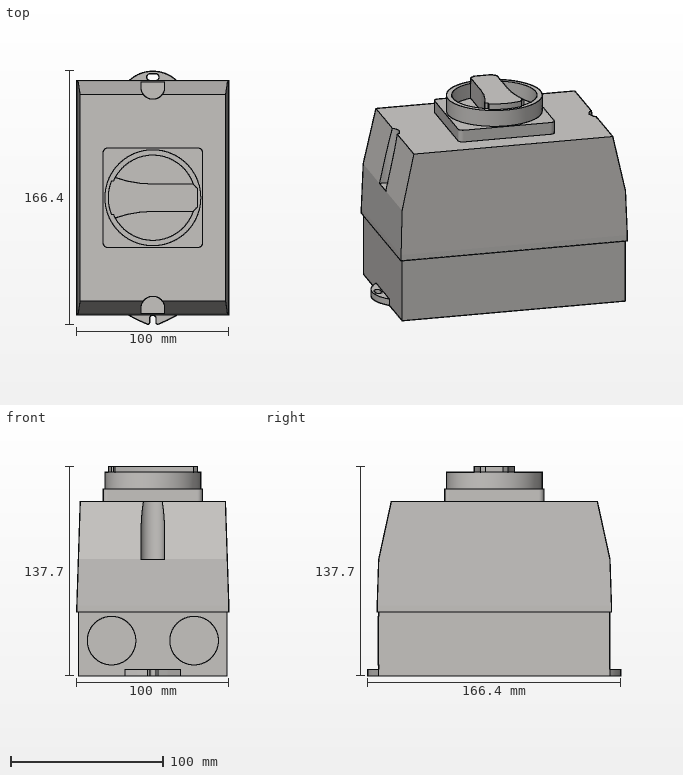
import cadquery as cq
import math

base_x = 97.7
base_y = 151.9
base_top = 42.1
knockout_diameter = 32.0
knockout_height = 0.3
knockout_offset = 27.1
knockout_z = 23.3

lug_tip_y = 83.2
lug_thickness = 4.5
closed_lug_half_width = 16.6
lug_hole_y = 79.2
lug_hole_length = 8.0
lug_hole_width = 4.3
open_lug_half_width = 18.3
lug_shoulder_x = 9.8
lug_shoulder_y = 80.4
lug_tip_half_width = 3.5
lug_slot_width = 4.0
lug_slot_end_y = 77.2
slot_mouth_radius = 1.3

cover_x = 100.0
cover_y = 154.0
rim_top = 46.0
bend_z = 76.7
bend_y = 152.0
cover_top = 114.8
cover_top_x = 95.5
cover_top_y = 135.5
groove_radius = 7.8
groove_y = 72.5

plate_side = 65.4
plate_corner_radius = 3.2
plate_top = 123.0

ring_diameter = 63.0
ring_bore = 56.0
ring_top = 134.0
knob_floor = 123.6
grip_top = 137.7
grip_half_width = 9.0
grip_flare_x = 24.8
grip_flare_half_width = 13.3
grip_end_radius = 29.3
grip_nose_x = 29.5
grip_tail_half_width = 11.1
grip_nose_half_width = 5.8


def closed_lug():
    """Round lug at the +Y end with an oblong hole."""
    wall_y = base_y / 2
    chord_rise = lug_tip_y - wall_y
    outline_radius = (closed_lug_half_width**2 + chord_rise**2) / (2 * chord_rise)
    disc = (
        cq.Workplane("XY")
        .center(0, lug_tip_y - outline_radius)
        .circle(outline_radius)
        .extrude(lug_thickness)
    )
    hole = (
        cq.Workplane("XY")
        .center(0, lug_hole_y)
        .slot2D(lug_hole_length, lug_hole_width)
        .extrude(lug_thickness)
    )
    beyond_wall = (
        cq.Workplane("XY")
        .center(0, wall_y + chord_rise / 2)
        .rect(2 * closed_lug_half_width, chord_rise)
        .extrude(lug_thickness)
    )
    return disc.intersect(beyond_wall).cut(hole)


def open_lug():
    """Tapered lug at the -Y end with a round-bottomed slot open to the outside."""
    right_half = [
        (open_lug_half_width, -base_y / 2),
        (lug_shoulder_x, -lug_shoulder_y),
        (lug_tip_half_width, -lug_tip_y),
    ]
    left_half = [(-x, y) for x, y in reversed(right_half)]
    plate = cq.Workplane("XY").polyline(right_half + left_half).close().extrude(lug_thickness)
    slot_length = 2 * (lug_tip_y - lug_slot_end_y)
    slot = (
        cq.Workplane("XY")
        .center(0, -lug_tip_y)
        .slot2D(slot_length, lug_slot_width, 90)
        .extrude(lug_thickness)
    )
    mouth_limit_x = (lug_slot_width / 2 + lug_tip_half_width) / 2
    mouth = cq.selectors.BoxSelector(
        (-mouth_limit_x, -lug_tip_y - slot_mouth_radius, 0),
        (mouth_limit_x, -lug_tip_y + slot_mouth_radius, lug_thickness),
    )
    return plate.cut(slot).edges("|Z").edges(mouth).fillet(slot_mouth_radius)


def make_base():
    box = cq.Workplane("XY").box(base_x, base_y, base_top, centered=(True, True, False))
    knockouts = (
        cq.Workplane("XZ", origin=(0, -base_y / 2, knockout_z))
        .pushPoints([(-knockout_offset, 0), (knockout_offset, 0)])
        .circle(knockout_diameter / 2)
        .extrude(knockout_height)
    )
    return box.union(knockouts).union(closed_lug()).union(open_lug())


def symmetric_prism(plane, half_outline, length):
    """Prism whose outline is half_outline and its mirror image, centred on the plane."""
    mirrored = [(-across, up) for across, up in reversed(half_outline)]
    return cq.Workplane(plane).polyline(half_outline + mirrored).close().extrude(length / 2, both=True)


def make_cover():
    side_outline = [
        (cover_y / 2, base_top),
        (cover_y / 2, rim_top),
        (bend_y / 2, bend_z),
        (cover_top_y / 2, cover_top),
    ]
    end_outline = [
        (cover_x / 2, base_top),
        (cover_x / 2, rim_top),
        (cover_top_x / 2, cover_top),
    ]
    shell = symmetric_prism("YZ", side_outline, cover_x)
    shell = shell.intersect(symmetric_prism("XZ", end_outline, cover_y))
    groove_length = 2 * (cover_y / 2 - groove_y + groove_radius)
    grooves = (
        cq.Workplane("XY", origin=(0, 0, bend_z))
        .pushPoints([(0, -cover_y / 2), (0, cover_y / 2)])
        .slot2D(groove_length, 2 * groove_radius, 90)
        .extrude(cover_top - bend_z)
    )
    return shell.cut(grooves)


def make_plate():
    return (
        cq.Workplane("XY", origin=(0, 0, cover_top))
        .rect(plate_side, plate_side)
        .extrude(plate_top - cover_top)
        .edges("|Z")
        .fillet(plate_corner_radius)
    )


def on_circle_x(radius, y):
    """Positive X of the point at height y on a circle about the knob axis."""
    return math.sqrt(radius**2 - y**2)


def grip_outline(workplane):
    """Grip outline with a flat nose at +X and a flared tail at -X."""
    bore_radius = ring_bore / 2
    straight_end_x = on_circle_x(bore_radius, grip_half_width)
    tail_x = on_circle_x(grip_end_radius, grip_tail_half_width)
    notch_x = on_circle_x(bore_radius, grip_tail_half_width)
    flare_rise = grip_flare_half_width - grip_half_width
    flare_radius = (grip_flare_x**2 + flare_rise**2) / (2 * flare_rise)
    flare_mid_x = grip_flare_x / 2
    flare_mid_y = grip_half_width + flare_radius - math.sqrt(flare_radius**2 - flare_mid_x**2)
    return (
        workplane.moveTo(0, grip_half_width)
        .lineTo(straight_end_x, grip_half_width)
        .lineTo(grip_nose_x, grip_nose_half_width)
        .lineTo(grip_nose_x, -grip_nose_half_width)
        .lineTo(straight_end_x, -grip_half_width)
        .lineTo(0, -grip_half_width)
        .threePointArc((-flare_mid_x, -flare_mid_y), (-grip_flare_x, -grip_flare_half_width))
        .lineTo(-notch_x, -grip_tail_half_width)
        .lineTo(-tail_x, -grip_tail_half_width)
        .threePointArc((-grip_end_radius, 0), (-tail_x, grip_tail_half_width))
        .lineTo(-notch_x, grip_tail_half_width)
        .lineTo(-grip_flare_x, grip_flare_half_width)
        .threePointArc((-flare_mid_x, flare_mid_y), (0, grip_half_width))
        .close()
    )


def make_knob():
    ring = (
        cq.Workplane("XY", origin=(0, 0, plate_top))
        .circle(ring_diameter / 2)
        .extrude(ring_top - plate_top)
    )
    bore = (
        cq.Workplane("XY", origin=(0, 0, knob_floor))
        .circle(ring_bore / 2)
        .extrude(ring_top - knob_floor)
    )
    grip_plane = cq.Workplane("XY", origin=(0, 0, knob_floor))
    grip = grip_outline(grip_plane).extrude(grip_top - knob_floor)
    return ring.cut(bore).union(grip)


base = make_base()
cover = make_cover()
plate = make_plate()
knob = make_knob()

result = cq.Compound.makeCompound([base.val(), cover.val(), plate.val(), knob.val()])